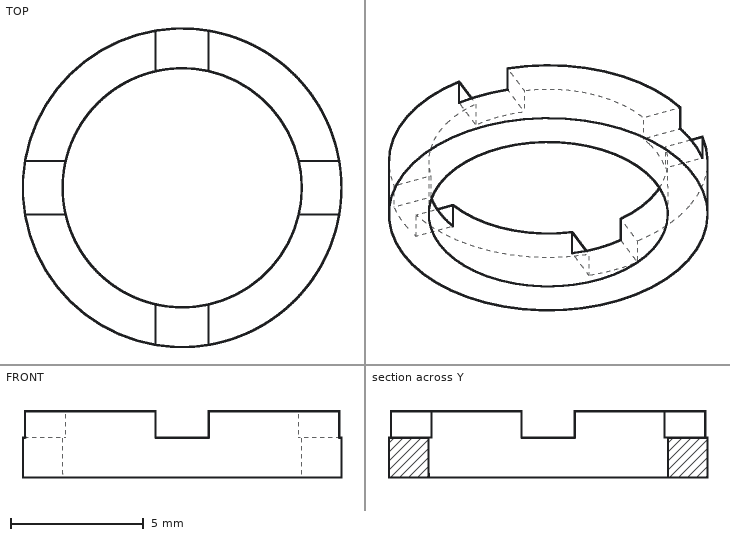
import cadquery as cq

outer_diameter = 12.0
inner_diameter = 9.0
height = 2.5

slot_width = 2.0
slot_depth = 1.0
slot_angles = (0, 90)
slot_overrun = 1.0
slot_length = outer_diameter + 2 * slot_overrun


def make_ring():
    """Plain ring standing on the XY plane, centred on Z."""
    return (
        cq.Workplane("XY")
        .circle(outer_diameter / 2)
        .circle(inner_diameter / 2)
        .extrude(height)
    )


def make_slot(angle):
    """Cutter for one slot through both walls, turned about Z by angle degrees."""
    return (
        cq.Workplane("XY")
        .workplane(offset=height - slot_depth)
        .rect(slot_length, slot_width)
        .extrude(slot_depth)
        .rotate((0, 0, 0), (0, 0, 1), angle)
    )


ring = make_ring()
for slot_angle in slot_angles:
    ring = ring.cut(make_slot(slot_angle))

result = ring